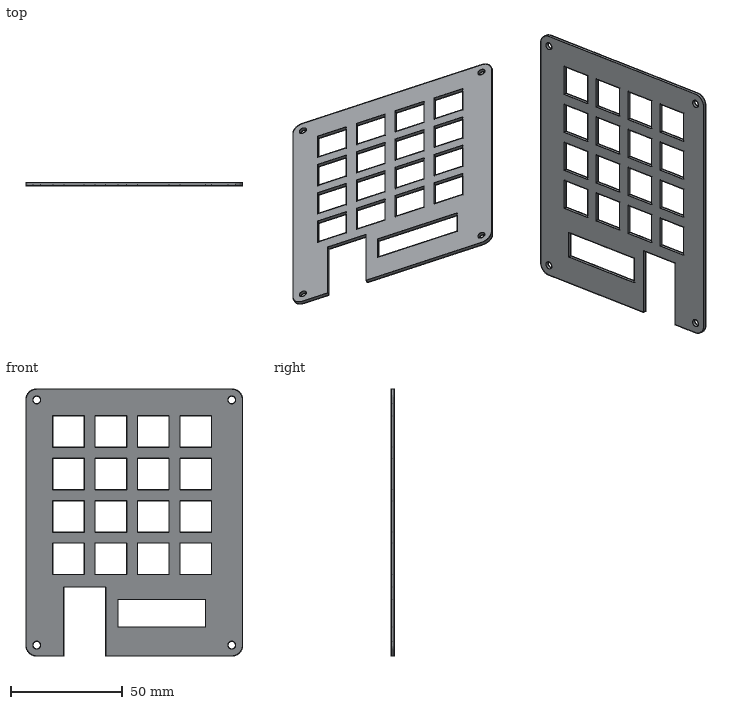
import cadquery as cq

PLATE_WIDTH = 97.2
PLATE_HEIGHT = 119.7
PLATE_THICKNESS = 1.5
CORNER_RADIUS = 4.9

HOLE_DIAMETER = 3.4
HOLE_INSET = CORNER_RADIUS

KEY_COUNT = 4
KEY_SIZE = 14.0
KEY_PITCH = 19.0
KEY_GRID_X = -1.0
TOP_ROW_INSET = KEY_PITCH

NOTCH_WIDTH = 18.7
NOTCH_HEIGHT = 30.9
NOTCH_LEFT_INSET = 17.1

WINDOW_WIDTH = 39.0
WINDOW_HEIGHT = 12.2
WINDOW_LEFT_INSET = 41.4
WINDOW_BOTTOM_INSET = 13.0

LEFT = -PLATE_WIDTH / 2
BOTTOM = -PLATE_HEIGHT / 2
TOP = PLATE_HEIGHT / 2


def block(width, height, x, z):
    """Rectangular block as thick as the plate, centred at (x, z)."""
    return cq.Workplane("XY").box(width, PLATE_THICKNESS, height).translate((x, 0, z))


def plate_blank():
    """Plate with rounded corners and a mounting hole in each corner."""
    blank = block(PLATE_WIDTH, PLATE_HEIGHT, 0, 0).edges("|Y").fillet(CORNER_RADIUS)
    return (
        blank.faces("<Y")
        .workplane(centerOption="CenterOfBoundBox")
        .rect(PLATE_WIDTH - 2 * HOLE_INSET, PLATE_HEIGHT - 2 * HOLE_INSET, forConstruction=True)
        .vertices()
        .hole(HOLE_DIAMETER)
    )


def cut_keys(plate):
    """Cut the grid of square key openings."""
    first_x = KEY_GRID_X - (KEY_COUNT - 1) * KEY_PITCH / 2
    first_z = TOP - TOP_ROW_INSET
    for column in range(KEY_COUNT):
        for row in range(KEY_COUNT):
            x = first_x + column * KEY_PITCH
            z = first_z - row * KEY_PITCH
            plate = plate.cut(block(KEY_SIZE, KEY_SIZE, x, z))
    return plate


def cut_from_corner(plate, width, height, left_inset, bottom_inset):
    """Cut a rectangle placed from the plate's lower left corner."""
    x = LEFT + left_inset + width / 2
    z = BOTTOM + bottom_inset + height / 2
    return plate.cut(block(width, height, x, z))


result = cut_keys(plate_blank())
result = cut_from_corner(result, NOTCH_WIDTH, NOTCH_HEIGHT, NOTCH_LEFT_INSET, 0)
result = cut_from_corner(result, WINDOW_WIDTH, WINDOW_HEIGHT, WINDOW_LEFT_INSET, WINDOW_BOTTOM_INSET)